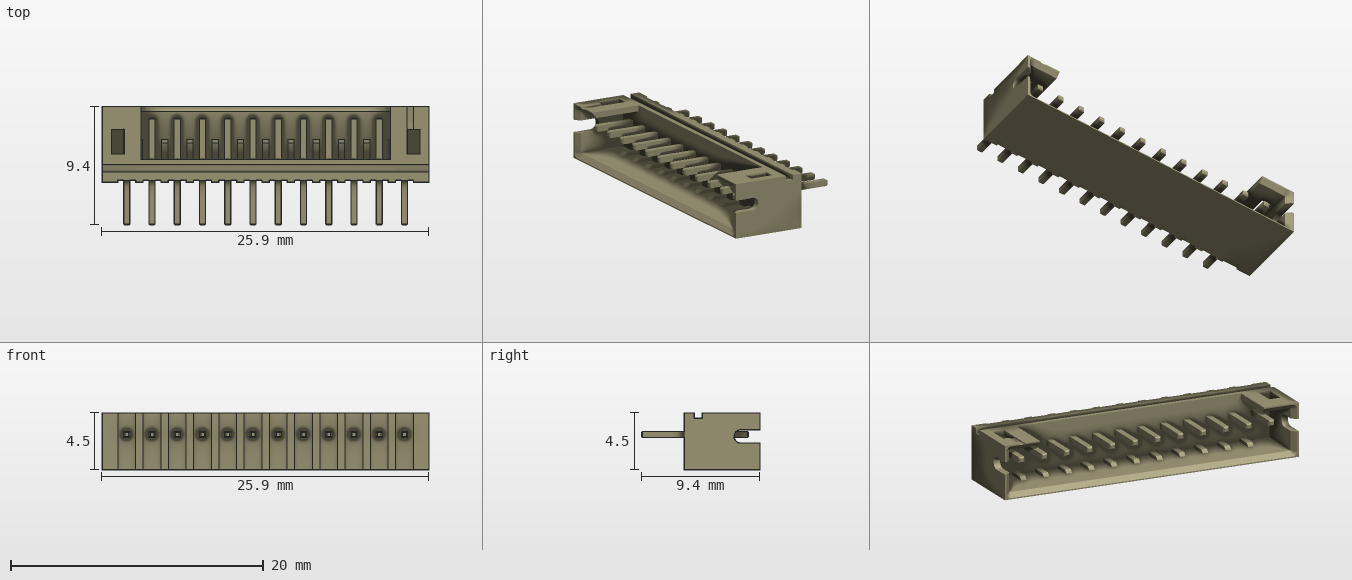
import cadquery as cq


pin_count = 12
pin_row_length = 22.0
pin_width = 0.5
pin_tail = 3.4
pin_tip_gap = 0.9
pin_tip_chamfer = 0.1
pin_height = 2.8

length = 25.9
depth = 6.0
height = 4.5
front_wall = 1.81
end_wall = 0.57
floor_thickness = 0.5
roof_thickness = 0.5
mouth_bevel = 0.4

wing_length = 3.08
window_inset = 0.75
window_width = 1.0
window_length = 1.95
window_setback = 1.81
mark_depth = 0.1

slot_width = 1.04
slot_length = 2.05
slot_bottom = 2.12

top_groove_setback = 0.8
top_groove_width = 0.62
top_groove_depth = 0.41

recess_width = 1.4
recess_depth = 0.15

rib_width = 0.5
rib_length = 1.58
rib_height = 0.28

end_x = length / 2
pin_pitch = pin_row_length / (pin_count - 1)
pin_positions = [i * pin_pitch - pin_row_length / 2 for i in range(pin_count)]
rib_positions = [x + pin_pitch / 2 for x in pin_positions[:-1]]


def block(x_range, y_range, z_range):
    """Box spanning the given (low, high) ranges."""
    lows, highs = zip(x_range, y_range, z_range)
    sizes = [high - low for low, high in zip(lows, highs)]
    return cq.Workplane("XY").box(*sizes, centered=False).translate(lows)


def extrude_along_x(profile, width):
    """Extrude closed (y, z) points along X, centred on X = 0."""
    return cq.Workplane("YZ").polyline(profile).close().extrude(width / 2, both=True)


def cavity():
    """Plug cavity whose mouth flares out at 45 degrees on all four sides."""
    width = length - 2 * end_wall
    roof = height - roof_thickness
    mouth_start = depth - mouth_bevel
    room = block((-width / 2, width / 2), (front_wall, mouth_start), (floor_thickness, roof))
    mouth = (
        cq.Workplane("XZ", origin=(0, mouth_start, (floor_thickness + roof) / 2))
        .rect(width, roof - floor_thickness)
        .extrude(-mouth_bevel, taper=-45)
    )
    return room.union(mouth)


def roof_opening():
    """Gap in the roof between the two wings."""
    half_opening = end_x - wing_length
    return block((-half_opening, half_opening), (front_wall, depth), (height - roof_thickness, height))


def keying_slots():
    """Round-ended slot running through both end walls."""
    radius = slot_width / 2
    axis_z = slot_bottom + radius
    round_end_y = depth - slot_length + radius
    straight = block((-end_x, end_x), (round_end_y, depth), (slot_bottom, slot_bottom + slot_width))
    round_end = (
        cq.Workplane("YZ").center(round_end_y, axis_z).circle(radius).extrude(end_x, both=True)
    )
    return straight.union(round_end)


def top_groove():
    """Groove running the full length of the housing."""
    return block(
        (-end_x, end_x),
        (top_groove_setback, top_groove_setback + top_groove_width),
        (height - top_groove_depth, height),
    )


def wing_window():
    """Window through the roof of the +X wing."""
    right = end_x - window_inset
    back = depth - window_setback
    return block(
        (right - window_width, right),
        (back - window_length, back),
        (height - roof_thickness, height),
    )


def end_mark():
    """Shallow channel from the inner half of the +X window to the mouth."""
    left = end_x - window_inset - window_width
    return block(
        (left, left + window_width / 2),
        (depth - window_setback, depth),
        (height - mark_depth, height),
    )


def face_recess(x):
    """Full-height recess in the solder-side face around one pin."""
    return block((x - recess_width / 2, x + recess_width / 2), (0, recess_depth), (0, height))


def rib(x):
    """Low rib on the cavity floor, its tip sloping down to the floor."""
    tip = front_wall + rib_length
    rib_top = floor_thickness + rib_height
    profile = [
        (front_wall, floor_thickness),
        (tip, floor_thickness),
        (tip - rib_height, rib_top),
        (front_wall, rib_top),
    ]
    return extrude_along_x(profile, rib_width).translate((x, 0, 0))


def pin(x):
    """Square pin with both tips chamfered."""
    half = pin_width / 2
    bar = block(
        (x - half, x + half),
        (-pin_tail, depth - pin_tip_gap),
        (pin_height - half, pin_height + half),
    )
    return bar.faces("<Y or >Y").chamfer(pin_tip_chamfer)


window = wing_window()
cutters = [
    cavity(),
    roof_opening(),
    keying_slots(),
    top_groove(),
    window,
    window.mirror("YZ"),
    end_mark(),
]
housing = block((-end_x, end_x), (0, depth), (0, height))
for cutter in cutters:
    housing = housing.cut(cutter)
for x in pin_positions:
    housing = housing.cut(face_recess(x))
for x in rib_positions:
    housing = housing.union(rib(x))
for x in pin_positions:
    housing = housing.union(pin(x))

result = housing